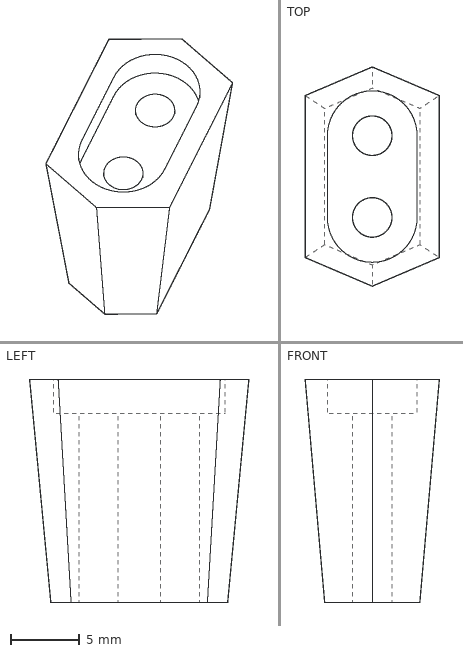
import cadquery as cq

height = 16.4
top_width = 9.87
top_length = 16.12
flat_length = 11.9
draft_angle = 5.0

hole_spacing = 6.0
hole_diameter = 2.89
pocket_width = 6.6
pocket_length = hole_spacing + pocket_width
pocket_depth = 2.5


def tapered_body():
    """Solid hexagonal block with its large face at the top."""
    half_width = top_width / 2
    half_flat = flat_length / 2
    half_length = top_length / 2
    outline = [
        (half_width, -half_flat),
        (half_width, half_flat),
        (0, half_length),
        (-half_width, half_flat),
        (-half_width, -half_flat),
        (0, -half_length),
    ]
    return (
        cq.Workplane("XY", origin=(0, 0, height))
        .polyline(outline)
        .close()
        .extrude(-height, taper=draft_angle)
    )


def add_pocket(body):
    """Round-ended pocket sunk into the top face."""
    return (
        body.faces(">Z")
        .workplane(origin=(0, 0, height))
        .slot2D(pocket_length, pocket_width, angle=90)
        .cutBlind(-pocket_depth)
    )


def add_holes(body):
    """Two holes through the pocket floor to the bottom face."""
    return (
        body.faces(">Z")
        .workplane(origin=(0, 0, height))
        .rarray(0.16, hole_spacing, 1, 2)
        .hole(hole_diameter)
    )


result = add_holes(add_pocket(tapered_body()))